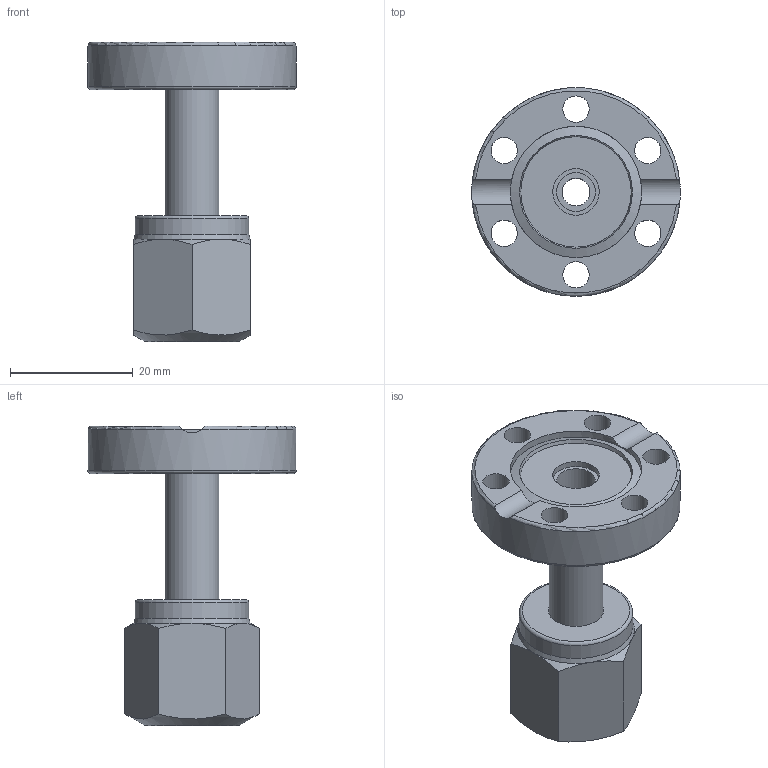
import cadquery as cq
import math

overall_height = 48.8
flange_thickness = 7.7
flange_bottom = overall_height - flange_thickness

flange_diameter = 34.0
flange_edge_radius = 0.5
bolt_count = 6
bolt_hole_diameter = 4.3
bolt_circle_diameter = 27.0
first_bolt_angle = 90.0

recess_diameter = 21.4
knife_diameter = 18.4
knife_root_diameter = 18.0
recess_depth = 1.2
knife_depth = 0.6

groove_width = 4.1
groove_depth = 1.05
groove_radius = ((groove_width / 2) ** 2 + groove_depth**2) / (2 * groove_depth)

mouth_diameter = 7.58
mouth_depth = 1.0
flange_bore_diameter = 6.35

tube_diameter = 8.8
tube_bore_diameter = 4.56

nut_hole_diameter = 9.0
hex_across_flats = 19.0
hex_sides = 6
hex_across_corners = hex_across_flats / math.cos(math.pi / hex_sides)
hex_height = 16.7
hex_chamfer_angle = 30.0
hex_top_diameter = 19.0
hex_bottom_diameter = 15.3
collar_diameter = 18.5
collar_top = 20.55
collar_edge_radius = 0.5
collar_flare_height = 0.8


def revolve_profile(points):
    """Turn a closed (radius, height) outline around the Z axis."""
    return cq.Workplane("XZ").polyline(points).close().revolve(360, (0, 0), (0, 1))


def axis_cylinder(diameter, bottom, top):
    """Vertical cylinder on the axis, for round bodies and holes."""
    return cq.Workplane("XY").workplane(offset=bottom).circle(diameter / 2).extrude(top - bottom)


def knife_edge_recess():
    """Space above the knife edge: a flat floor, the sharp ridge and the sloping outer valley."""
    floor = overall_height - recess_depth
    return revolve_profile([
        (0, overall_height),
        (0, floor),
        (knife_root_diameter / 2, floor),
        (knife_diameter / 2, overall_height - knife_depth),
        (recess_diameter / 2, floor),
        (recess_diameter / 2, overall_height),
    ])


def leak_check_grooves():
    """Round grooves on both sides, kept clear of the sealing recess."""
    groove = (
        cq.Workplane("YZ")
        .center(0, overall_height - groove_depth + groove_radius)
        .circle(groove_radius)
        .extrude(flange_diameter / 2, both=True)
    )
    return groove.cut(axis_cylinder(recess_diameter, flange_bottom, overall_height + groove_radius * 2))


def make_flange():
    flange = axis_cylinder(flange_diameter, flange_bottom, overall_height)
    flange = flange.edges("%CIRCLE").fillet(flange_edge_radius)
    flange = flange.cut(knife_edge_recess()).cut(leak_check_grooves())
    bolt_holes = (
        cq.Workplane("XY")
        .workplane(offset=flange_bottom)
        .polarArray(bolt_circle_diameter / 2, first_bolt_angle, 360, bolt_count)
        .circle(bolt_hole_diameter / 2)
        .extrude(flange_thickness)
    )
    mouth_bottom = overall_height - recess_depth - mouth_depth
    flange = flange.cut(bolt_holes)
    flange = flange.cut(axis_cylinder(mouth_diameter, mouth_bottom, overall_height))
    return flange.cut(axis_cylinder(flange_bore_diameter, flange_bottom, overall_height))


def make_gland_tube():
    """Straight tube from the nut's lower face up to the underside of the flange."""
    tube = axis_cylinder(tube_diameter, 0, flange_bottom)
    return tube.cut(axis_cylinder(tube_bore_diameter, 0, flange_bottom))


def make_nut():
    corner_radius = hex_across_corners / 2
    slope = math.tan(math.radians(hex_chamfer_angle))
    bottom_rise = (corner_radius - hex_bottom_diameter / 2) * slope
    top_drop = (corner_radius - hex_top_diameter / 2) * slope

    hexagon = (
        cq.Workplane("XY")
        .transformed(rotate=(0, 0, 90))
        .polygon(hex_sides, hex_across_corners)
        .extrude(hex_height)
    )
    turned_envelope = revolve_profile([
        (0, 0),
        (hex_bottom_diameter / 2, 0),
        (corner_radius, bottom_rise),
        (corner_radius, hex_height - top_drop),
        (hex_top_diameter / 2, hex_height),
        (0, hex_height),
    ])
    hexagon = hexagon.intersect(turned_envelope)

    collar = axis_cylinder(collar_diameter, hex_height, collar_top)
    collar = collar.faces(">Z").edges().fillet(collar_edge_radius)
    flare = revolve_profile([
        (0, hex_height),
        (hex_top_diameter / 2, hex_height),
        (collar_diameter / 2, hex_height + collar_flare_height),
        (0, hex_height + collar_flare_height),
    ])
    nut = hexagon.union(collar).union(flare)
    return nut.cut(axis_cylinder(nut_hole_diameter, 0, collar_top))


flange = make_flange()
gland_tube = make_gland_tube()
nut = make_nut()

result = cq.Compound.makeCompound([flange.val(), gland_tube.val(), nut.val()])